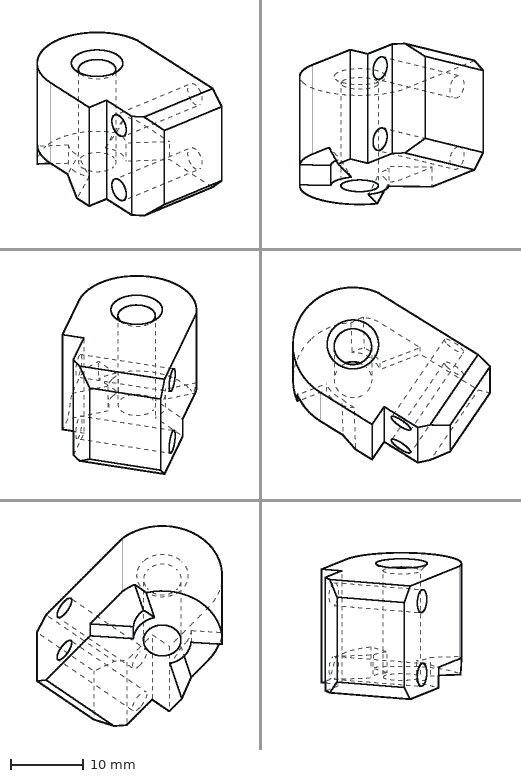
import cadquery as cq
import math

height = 16.0
length = 25.73
width = 16.57
round_radius = 8.34
back_y = width - round_radius
end_x = length - round_radius
step_x = 8.6
step_y = -5.25
corner_chamfer = 3.25
end_chamfer = 2.0

bore_diameter = 5.2
countersink_diameter = 7.15
countersink_depth = (countersink_diameter - bore_diameter) / 2

mount_diameter = 3.2
mount_x = 11.37
mount_spacing = 10.4

hub_radius = 4.01
slot_depth = 2.93
slot_angle = 70.0
ramp_angle = 30.0
slot_reach = 15.45
slot_centers = (90.0, 270.0)


def make_body():
    arc_start_x = -math.sqrt(round_radius**2 - back_y**2)
    body = (
        cq.Workplane("XY")
        .moveTo(arc_start_x, back_y)
        .threePointArc((-round_radius, 0), (0, -round_radius))
        .lineTo(step_x, -round_radius)
        .lineTo(step_x, step_y)
        .lineTo(end_x - corner_chamfer, step_y)
        .lineTo(end_x, step_y + corner_chamfer)
        .lineTo(end_x, back_y)
        .close()
        .extrude(height)
    )
    return body.faces(">X").edges("|Y").chamfer(end_chamfer)


def make_slot(center_angle):
    """Annular sector, with one upright radial wall and one sloping wall."""
    half_angle = math.radians(slot_angle / 2)
    side_x = slot_reach * math.cos(half_angle)
    side_y = slot_reach * math.sin(half_angle)
    sector = (
        cq.Workplane("XY")
        .polyline([(0, 0), (side_x, -side_y), (side_x, side_y)])
        .close()
        .extrude(slot_depth)
    )
    ramp_run = slot_depth * math.tan(math.radians(ramp_angle))
    ramp = (
        cq.Workplane("YZ")
        .polyline([(0, 0), (0, slot_depth), (-ramp_run, slot_depth)])
        .close()
        .extrude(slot_reach)
        .rotate((0, 0, 0), (0, 0, 1), slot_angle / 2)
    )
    hub = cq.Workplane("XY").circle(hub_radius).extrude(slot_depth)
    slot = sector.cut(ramp).cut(hub)
    return slot.rotate((0, 0, 0), (0, 0, 1), center_angle)


def make_mount_holes():
    return (
        cq.Workplane("XZ")
        .pushPoints([(mount_x, height / 2 + side * mount_spacing / 2) for side in (-1, 1)])
        .circle(mount_diameter / 2)
        .extrude(width, both=True)
    )


def make_bore():
    bore = cq.Workplane("XY").circle(bore_diameter / 2).extrude(height)
    countersink = (
        cq.Workplane("XY", origin=(0, 0, height - countersink_depth))
        .circle(bore_diameter / 2)
        .workplane(offset=countersink_depth)
        .circle(countersink_diameter / 2)
        .loft()
    )
    return bore.union(countersink)


result = make_body().cut(make_bore()).cut(make_mount_holes())
for slot_center in slot_centers:
    result = result.cut(make_slot(slot_center))